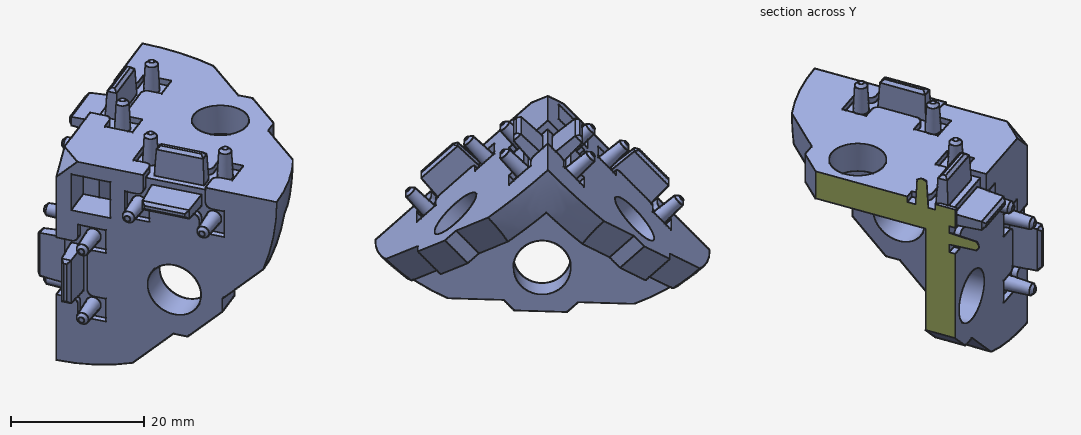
import cadquery as cq

plate_directions = [cq.Vector(1, 0, 0), cq.Vector(0, 1, 0), cq.Vector(0, 0, -1)]

plate_size = 35.5
plate_thickness = 5.0
corner_cut = 3.4

diagonal_reach = 45.6
lug_reach = 26.75
lug_diagonal_reach = 47.9

hole_offset = 19.0
hole_diameter = 8.6
window_offset = 2.4
window_size = 6.3

pocket_depth = 1.0
neck_half_width = 5.0
pocket_half_width = 8.0
leg_inner_half_width = 4.0
shoulder_offset = 3.5
web_offset = 5.0
pocket_reach = 8.0
pocket_corner_radius = 1.0

connector_height = 4.0
draft_angle = 3.0
tip_chamfer = 0.5
tip_angle = 45.0
pin_diameter = 2.4
pin_half_spacing = 6.0
pin_offset = 5.6
blade_length = 8.0
blade_thickness = 2.0
blade_offset = 3.0


def face_plane(index):
    """Outer face of a plate, origin at the corner, both axes running into the plate."""
    along = plate_directions[(index + 1) % 3]
    return cq.Plane(origin=(0, 0, 0), xDir=along, normal=-plate_directions[index])


def connector_plane(normal, along, inward):
    """Outer face, origin on the plate edge at the connector centre, y running inward."""
    return cq.Plane(origin=along * hole_offset, xDir=inward.cross(normal), normal=normal)


def make_plate(plane):
    """Plate with a lug on its diagonal edge, before its tips are rounded."""
    lug_start = diagonal_reach - lug_reach
    lug_end = lug_diagonal_reach - lug_reach
    tip_slant = diagonal_reach - plate_size
    outline = [
        (0, 0),
        (plate_size, 0),
        (plate_size, tip_slant),
        (lug_reach, lug_start),
        (lug_reach, lug_end),
        (lug_end, lug_reach),
        (lug_start, lug_reach),
        (tip_slant, plate_size),
        (0, plate_size),
    ]
    return cq.Workplane(plane).polyline(outline).close().extrude(-plate_thickness)


def make_mounting_hole(plane):
    hole = cq.Workplane(plane).center(hole_offset, hole_offset).circle(hole_diameter / 2)
    return hole.extrude(-plate_thickness)


def make_corner_facet():
    """Tetrahedron at the corner, cut by a plane crossing the three edges equally far out."""
    tips = [direction * corner_cut for direction in plate_directions]
    origin = cq.Vector(0, 0, 0)
    triangles = [tips, [origin, tips[0], tips[1]], [origin, tips[1], tips[2]], [origin, tips[2], tips[0]]]
    faces = [cq.Face.makeFromWires(cq.Wire.makePolygon(points, close=True)) for points in triangles]
    return cq.Workplane(cq.Solid.makeSolid(cq.Shell.makeShell(faces)))


def make_window():
    """Square opening through the front plate, near the corner."""
    centre = window_offset + window_size / 2
    window = cq.Workplane("XZ").center(centre, -centre).rect(window_size, window_size)
    return window.extrude(-plate_thickness)


def make_pocket(plane):
    """Pocket open at the plate edge, with two pin wells joined behind the blade."""
    radius = pocket_corner_radius
    half_outline = (
        cq.Workplane(plane)
        .moveTo(0, 0)
        .lineTo(neck_half_width, 0)
        .lineTo(neck_half_width, shoulder_offset - radius)
        .radiusArc((neck_half_width + radius, shoulder_offset), radius)
        .lineTo(pocket_half_width, shoulder_offset)
        .lineTo(pocket_half_width, pocket_reach)
        .lineTo(leg_inner_half_width, pocket_reach)
        .lineTo(leg_inner_half_width, web_offset + radius)
        .radiusArc((leg_inner_half_width - radius, web_offset), radius)
        .lineTo(0, web_offset)
    )
    return half_outline.mirrorY().extrude(-pocket_depth)


def raise_prong(outline):
    """Drafted prong with a chamfered tip, raised from an outline by the full pin height."""
    shaft = outline.extrude(pocket_depth + connector_height - tip_chamfer, taper=draft_angle)
    return shaft.faces(">Z").wires().toPending().extrude(tip_chamfer, taper=tip_angle)


def make_prongs(plane):
    """Two pins and the blade between them, standing on the pocket floor."""
    pin = raise_prong(cq.Workplane("XY").circle(pin_diameter / 2))
    blade = raise_prong(cq.Workplane("XY").rect(blade_length, blade_thickness))
    prongs = [
        pin.translate((-pin_half_spacing, pin_offset, -pocket_depth)),
        pin.translate((pin_half_spacing, pin_offset, -pocket_depth)),
        blade.translate((0, blade_offset, -pocket_depth)),
    ]
    return [prong.val().moved(plane.location) for prong in prongs]


def make_body():
    """Three joined plates with rounded tips, mounting holes, corner facet and window."""
    planes = [face_plane(index) for index in range(3)]
    body = make_plate(planes[0])
    for plane in planes[1:]:
        body = body.union(make_plate(plane))
    body = body.intersect(cq.Workplane("XY").sphere(plate_size))
    for plane in planes:
        body = body.cut(make_mounting_hole(plane))
    return body.cut(make_corner_facet()).cut(make_window())


def connector_planes():
    """Two connectors per plate, one beside each edge shared with another plate."""
    planes = []
    for index in range(3):
        first = plate_directions[(index + 1) % 3]
        second = plate_directions[(index + 2) % 3]
        normal = -plate_directions[index]
        planes.append(connector_plane(normal, first, second))
        planes.append(connector_plane(normal, second, first))
    return planes


result = make_body()
for plane in connector_planes():
    result = result.cut(make_pocket(plane))
for plane in connector_planes():
    for prong in make_prongs(plane):
        result = result.union(prong)